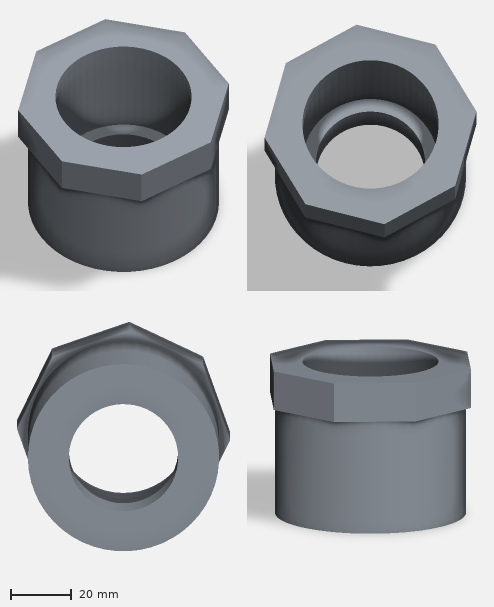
import cadquery as cq
import math

across_flats = 65.0
total_height = 51.0
collar_height = 13.0
spigot_diameter = 63.0

socket_diameter = 44.85
socket_depth = 38.0
bore_diameter = 36.0

spigot_height = total_height - collar_height


def make_spigot():
    """Round lower body, standing on the XY plane."""
    return cq.Workplane("XY").circle(spigot_diameter / 2).extrude(spigot_height)


def make_collar():
    """Regular octagonal collar with flats facing X and Y."""
    sides = 8
    half_side_angle = 180 / sides
    across_corners = across_flats / math.cos(math.radians(half_side_angle))
    return (
        cq.Workplane("XY")
        .workplane(offset=spigot_height)
        .transformed(rotate=(0, 0, half_side_angle))
        .polygon(sides, across_corners)
        .extrude(collar_height)
    )


def cut_stepped_bore(body):
    """Wide socket from the top, narrowing to a through bore."""
    return body.faces(">Z").workplane(origin=(0, 0, 0)).cboreHole(bore_diameter, socket_diameter, socket_depth)


result = cut_stepped_bore(make_spigot().union(make_collar()))